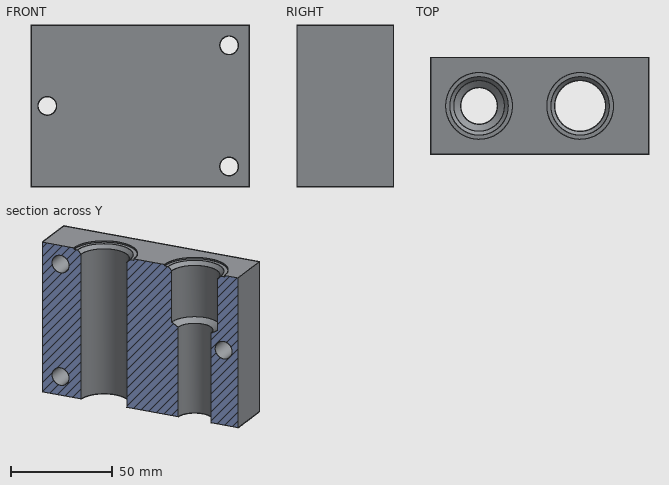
import cadquery as cq
import math

length = 108.0
width = 48.0
height = 80.0

mount_diameter = 9.1
mount_left_x = 8.0
mount_right_x = 98.0
mount_edge_offset = 10.0

left_port_x = 24.0
right_port_x = 74.0
spotface_diameter = 33.0
spotface_depth = 0.8
lead_in_diameter = 28.9
bore_diameter = 25.1

left_bore_depth = 30.0
passage_diameter = 18.0
drill_point_angle = 118.0


def revolved_cut(profile, x):
    """Revolve (radius, z) points about the vertical axis of a port at x."""
    solid = cq.Workplane("XZ").polyline(profile).close().revolve(360, (0, 0, 0), (0, 1, 0))
    return solid.translate((x, width / 2, 0))


def port_cutter(x, lower_profile):
    """Spotface and 45 degree lead-in above the given lower bore profile."""
    spotface_z = height - spotface_depth
    lead_in_depth = (lead_in_diameter - bore_diameter) / 2
    profile = [
        (0, height),
        (spotface_diameter / 2, height),
        (spotface_diameter / 2, spotface_z),
        (lead_in_diameter / 2, spotface_z),
        (bore_diameter / 2, spotface_z - lead_in_depth),
    ]
    return revolved_cut(profile + lower_profile, x)


block = cq.Workplane("XY").box(length, width, height, centered=False)

shoulder_z = height - left_bore_depth
shoulder_depth = (bore_diameter - passage_diameter) / 2 / math.tan(math.radians(drill_point_angle / 2))
stepped_bore = [
    (bore_diameter / 2, shoulder_z),
    (passage_diameter / 2, shoulder_z - shoulder_depth),
    (passage_diameter / 2, 0),
    (0, 0),
]

straight_bore = [(bore_diameter / 2, 0), (0, 0)]

mount_positions = [
    (mount_left_x, height / 2),
    (mount_right_x, mount_edge_offset),
    (mount_right_x, height - mount_edge_offset),
]
mount_holes = (
    cq.Workplane("XZ")
    .pushPoints(mount_positions)
    .circle(mount_diameter / 2)
    .extrude(-width)
)

result = (
    block
    .cut(port_cutter(left_port_x, stepped_bore))
    .cut(port_cutter(right_port_x, straight_bore))
    .cut(mount_holes)
)